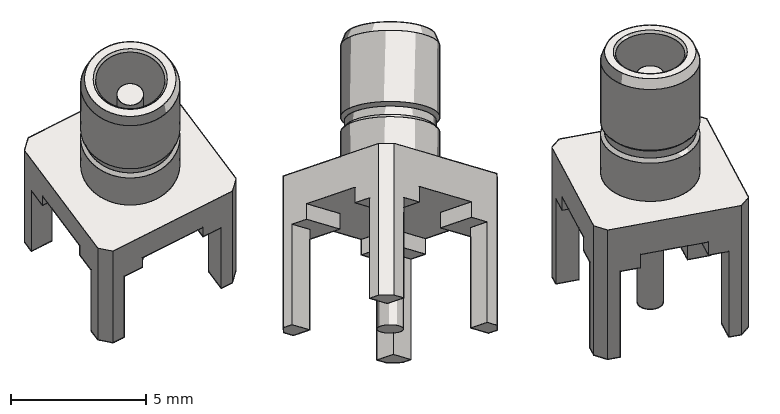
import cadquery as cq

height = 11.4
base_width = 6.0
corner_chamfer = 0.41

base_top = 5.9
cross_slot_top = 4.51
shoulder_bottom = 3.91

leg_gap = 4.2
shoulder_gap = 2.62

barrel_radius = 1.84
rim_radius = 1.69
rim_chamfer_height = 0.39
groove_radius = 1.7
groove_bottom = 7.65
groove_top = 8.24
groove_flank_height = 0.14

socket_radius = 1.28
mouth_radius = 1.37
mouth_chamfer_height = 0.09
socket_depth = 4.56
pin_radius = 0.49
pin_recess = 0.99


def cross_cutter(gap, top):
    """Two crossing through slots of equal width, open at the leg tips."""
    along_x = cq.Workplane("XY").box(base_width, gap, top, centered=(True, True, False))
    along_y = cq.Workplane("XY").box(gap, base_width, top, centered=(True, True, False))
    return along_x.union(along_y)


def make_base():
    """Square block with four stepped corner legs."""
    block = cq.Workplane("XY").box(base_width, base_width, base_top, centered=(True, True, False))
    block = block.edges("|Z").chamfer(corner_chamfer)
    block = block.cut(cross_cutter(leg_gap, shoulder_bottom))
    return block.cut(cross_cutter(shoulder_gap, cross_slot_top))


def make_barrel():
    """Turned barrel with a snap groove and a socket open at the top."""
    socket_floor = height - socket_depth
    profile = [
        (0, base_top),
        (barrel_radius, base_top),
        (barrel_radius, groove_bottom),
        (groove_radius, groove_bottom + groove_flank_height),
        (groove_radius, groove_top - groove_flank_height),
        (barrel_radius, groove_top),
        (barrel_radius, height - rim_chamfer_height),
        (rim_radius, height),
        (mouth_radius, height),
        (socket_radius, height - mouth_chamfer_height),
        (socket_radius, socket_floor),
        (0, socket_floor),
    ]
    return cq.Workplane("XZ").polyline(profile).close().revolve(360, (0, 0, 0), (0, 1, 0))


def make_pin():
    """Centre contact running from the leg tips up into the socket."""
    return cq.Workplane("XY").circle(pin_radius).extrude(height - pin_recess)


result = make_base().union(make_barrel()).union(make_pin())